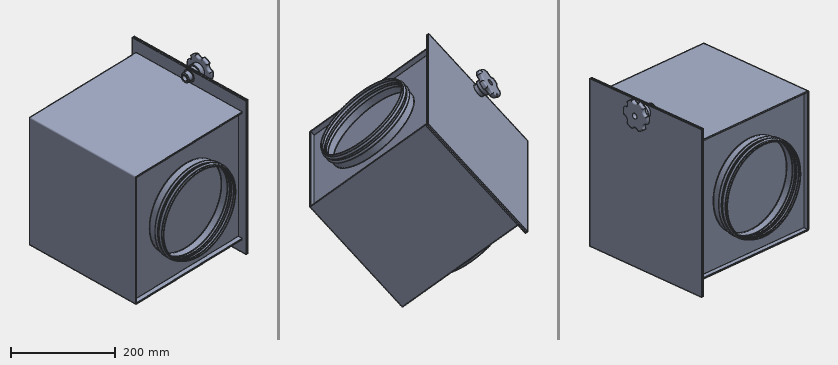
import cadquery as cq
import math

SHEET = 3.0
BOX_WIDTH = 280.0
BOX_HEIGHT = 300.0
BOX_DEPTH = 294.0
PANEL_RECESS = 10.0

PLATE_WIDTH = 300.0
PLATE_HEIGHT = 360.0

TOTAL_WIDTH = 334.0
COLLAR_RADIUS = 100.0
COLLAR_WALL = 2.0
BEAD_RISE = 3.0
BEAD_HALF_WIDTH = 3.0
BEAD_PITCH = 10.5
FIRST_BEAD = 8.0

TOTAL_DEPTH = 330.0
TOTAL_HEIGHT = 375.7
KNOB_RADIUS = 31.5
KNOB_THICKNESS = 9.8
KNOB_FILLET = 2.5
NOTCH_COUNT = 6
NOTCH_HALF_WIDTH = 8.3
NOTCH_RADIUS = 9.5
HUB_RADIUS = 16.0
HUB_LENGTH = 11.3
BOSS_RADIUS = 13.5
STUD_RADIUS = 10.5
STUD_LENGTH = 12.5
STUD_CHAMFER = 2.0
BORE_RADIUS = 6.0

FLANGE_FRONT = BOX_DEPTH
FLANGE_BACK = FLANGE_FRONT + SHEET
COLLAR_Y = FLANGE_BACK / 2
CORE_WIDTH = BOX_WIDTH - 2 * PANEL_RECESS
COLLAR_LENGTH = (TOTAL_WIDTH - CORE_WIDTH) / 2
NOTCH_MOUTH = math.sqrt(KNOB_RADIUS**2 - NOTCH_HALF_WIDTH**2)
NOTCH_OFFSET = NOTCH_MOUTH + math.sqrt(NOTCH_RADIUS**2 - NOTCH_HALF_WIDTH**2)
KNOB_Z = TOTAL_HEIGHT - PLATE_HEIGHT / 2 - NOTCH_MOUTH
KNOB_BACK = TOTAL_DEPTH
KNOB_FRONT = KNOB_BACK - KNOB_THICKNESS
HUB_FRONT = KNOB_FRONT - HUB_LENGTH
STUD_FRONT = FLANGE_FRONT - STUD_LENGTH


def block(width, depth, height, y_front):
    """Box centred in X and Z whose front face is at y_front."""
    return cq.Workplane("XY").box(width, depth, height, centered=(True, False, True)).translate((0, y_front, 0))


def rod(radius, y_front, y_back):
    """Cylinder along Y on the knob axis."""
    rod_plane = cq.Workplane("XZ", origin=(0, y_front, KNOB_Z))
    return rod_plane.circle(radius).extrude(y_front - y_back)


def make_housing():
    """Sheet wrapped over the top, front and bottom, overhanging a core with closed side panels."""
    wrap = block(BOX_WIDTH, BOX_DEPTH, BOX_HEIGHT, 0).edges("|X and <Y").fillet(SHEET)
    inner = block(BOX_WIDTH, BOX_DEPTH, BOX_HEIGHT - 2 * SHEET, SHEET)
    core = block(CORE_WIDTH, BOX_DEPTH - SHEET, BOX_HEIGHT - 2 * SHEET, SHEET)
    return wrap.cut(inner).union(core)


def make_plate(y_front):
    """Flange or lid plate with a hole for the knob boss."""
    plate = block(PLATE_WIDTH, SHEET, PLATE_HEIGHT, y_front)
    return plate.cut(rod(BOSS_RADIUS, y_front, y_front + SHEET))


def add_bead(outline, centre, radius, direction):
    """Continue a collar outline along +X or -X (direction 1 or -1) up to and over one bead."""
    bead_start = centre - direction * BEAD_HALF_WIDTH
    bead_end = centre + direction * BEAD_HALF_WIDTH
    return outline.lineTo(bead_start, radius).threePointArc((centre, radius + BEAD_RISE), (bead_end, radius))


def make_collar(side):
    """Thin beaded tube standing on a side panel; side is -1 for -X and 1 for +X."""
    free_end = TOTAL_WIDTH / 2
    root = free_end - COLLAR_LENGTH
    inner_radius = COLLAR_RADIUS - COLLAR_WALL
    outer_bead = free_end - FIRST_BEAD
    inner_bead = outer_bead - BEAD_PITCH
    outline = cq.Workplane("XZ").moveTo(root, COLLAR_RADIUS)
    outline = add_bead(outline, inner_bead, COLLAR_RADIUS, 1)
    outline = add_bead(outline, outer_bead, COLLAR_RADIUS, 1)
    outline = outline.lineTo(free_end, COLLAR_RADIUS).lineTo(free_end, inner_radius)
    outline = add_bead(outline, outer_bead, inner_radius, -1)
    outline = add_bead(outline, inner_bead, inner_radius, -1)
    collar = outline.lineTo(root, inner_radius).close().revolve(360, (0, 0, 0), (1, 0, 0))
    if side < 0:
        collar = collar.mirror("YZ")
    return collar.translate((0, COLLAR_Y, 0))


def make_star_wheel():
    """Round grip with scalloped notches and rounded face edges."""
    wheel = rod(KNOB_RADIUS, KNOB_FRONT, KNOB_BACK)
    for i in range(NOTCH_COUNT):
        angle = math.radians(90 + i * 360 / NOTCH_COUNT)
        x = NOTCH_OFFSET * math.cos(angle)
        z = NOTCH_OFFSET * math.sin(angle)
        wheel = wheel.cut(rod(NOTCH_RADIUS, KNOB_FRONT, KNOB_BACK).translate((x, 0, z)))
    return wheel.faces("<Y or >Y").edges().fillet(KNOB_FILLET)


def make_shank():
    """Hub, boss through both plates and chamfered stud, turned as one profile."""
    profile = [
        (0, KNOB_FRONT),
        (-HUB_RADIUS, KNOB_FRONT),
        (-HUB_RADIUS, HUB_FRONT),
        (-BOSS_RADIUS, HUB_FRONT),
        (-BOSS_RADIUS, FLANGE_FRONT),
        (-STUD_RADIUS, FLANGE_FRONT),
        (-STUD_RADIUS, STUD_FRONT + STUD_CHAMFER),
        (-STUD_RADIUS + STUD_CHAMFER, STUD_FRONT),
        (0, STUD_FRONT),
    ]
    shank = cq.Workplane("XY").polyline(profile).close().revolve(360, (0, 0, 0), (0, 1, 0))
    return shank.translate((0, 0, KNOB_Z))


def make_knob():
    bore = rod(BORE_RADIUS, STUD_FRONT, KNOB_BACK)
    return make_star_wheel().union(make_shank()).cut(bore)


housing = make_housing()
flange = make_plate(FLANGE_FRONT)
lid = make_plate(FLANGE_BACK)
collars = [make_collar(side) for side in (-1, 1)]
knob = make_knob()

result = cq.Compound.makeCompound(
    [housing.val(), flange.val(), lid.val(), *[collar.val() for collar in collars], knob.val()]
)